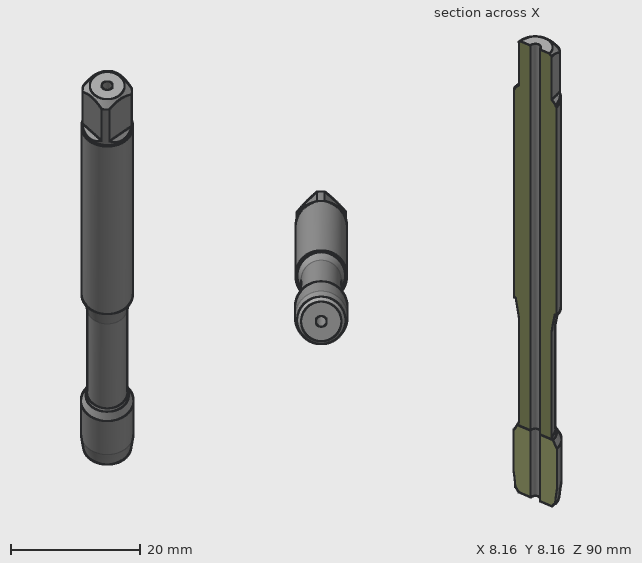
import cadquery as cq

total_length = 90.0
coolant_bore_diameter = 1.7

thread_diameter = 8.16
tip_diameter = 6.23
lead_start_diameter = 7.5
head_shoulder_diameter = 6.7
tip_chamfer_height = 0.8
lead_top = 3.7
thread_top = 12.0
head_top = 13.4

neck_diameter = 6.23
neck_bottom = 13.95
neck_top = 34.85
taper_top_diameter = 7.4
shank_diameter = 8.0
shank_bottom = 38.4
shank_top = 79.9

square_length = 9.0
square_across_flats = 6.2
square_corner_diameter = 7.68
square_end_diameter = 5.4
flat_bottom = total_length - square_length
square_end_chamfer = (square_corner_diameter - square_end_diameter) / 2
ramp_height = (shank_diameter - square_across_flats) / 2
shank_chamfer = (shank_diameter - square_corner_diameter) / 2


def turned(profile):
    """Revolve (diameter, z) stations about Z and bore the result for coolant."""
    stations = [(diameter / 2, z) for diameter, z in profile]
    axis_bottom = (0, profile[0][1])
    axis_top = (0, profile[-1][1])
    body = (
        cq.Workplane("XZ")
        .polyline([axis_bottom, *stations, axis_top])
        .close()
        .revolve(360, (0, 0, 0), (0, 1, 0))
    )
    bore = cq.Workplane("XY").circle(coolant_bore_diameter / 2).extrude(total_length)
    return body.cut(bore)


def make_cutting_head():
    """Threaded head with a tapered lead and a chamfered tip."""
    return turned([
        (tip_diameter, 0),
        (lead_start_diameter, tip_chamfer_height),
        (thread_diameter, lead_top),
        (thread_diameter, thread_top),
        (head_shoulder_diameter, head_top),
    ])


def make_square_envelope():
    """Square prism whose foot ramps outward at 45 degrees to meet the shank."""
    half_flat = square_across_flats / 2
    half_shank = shank_diameter / 2
    ramp_bottom = flat_bottom - ramp_height
    outline = [
        (-half_shank, 0),
        (half_shank, 0),
        (half_shank, ramp_bottom),
        (half_flat, flat_bottom),
        (half_flat, total_length),
        (-half_flat, total_length),
        (-half_flat, flat_bottom),
        (-half_shank, ramp_bottom),
    ]
    along_y = cq.Workplane("XZ").polyline(outline).close().extrude(half_shank, both=True)
    along_x = along_y.rotate((0, 0, 0), (0, 0, 1), 90)
    return along_y.intersect(along_x)


def make_shank():
    """Neck, plain shank and drive square, turned first and then milled square."""
    blank = turned([
        (head_shoulder_diameter, head_top),
        (neck_diameter, neck_bottom),
        (neck_diameter, neck_top),
        (taper_top_diameter, shank_bottom),
        (shank_diameter, shank_bottom),
        (shank_diameter, shank_top),
        (square_corner_diameter, shank_top + shank_chamfer),
        (square_corner_diameter, total_length - square_end_chamfer),
        (square_end_diameter, total_length),
    ])
    return blank.intersect(make_square_envelope())


cutting_head = make_cutting_head()
shank = make_shank()
result = cq.Compound.makeCompound([cutting_head.val(), shank.val()])